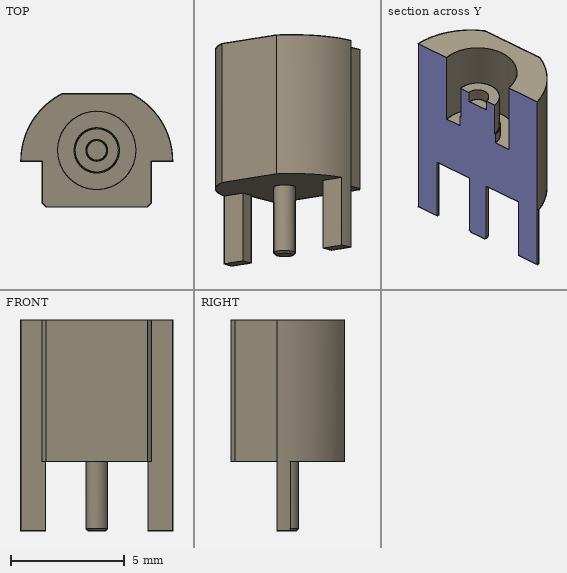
import cadquery as cq


body_height = 6.25
half_depth = 2.5
block_width = 4.82
shoulder_y = -0.48
back_radius = 3.35
block_chamfer = 0.18

leg_length = 3.05
leg_inner_x = 2.25
leg_back_y = 0.12
pin_diameter = 0.96
pin_bottom_chamfer = 0.1
pin_top_chamfer = 0.05

bore_diameter = 3.45
bore_depth = 3.5
insulator_diameter = 1.9
insulator_top_depth = 1.37
collar_diameter = 2.0
collar_height = 0.5
pin_recess = 0.5


def disc(diameter, bottom_z, height):
    """Vertical cylinder on the pin axis."""
    return cq.Workplane("XY").workplane(offset=bottom_z).circle(diameter / 2).extrude(height)


def half_round(bottom_z, height):
    """Half disc behind the shoulders, centred on the shoulder line."""
    return (
        cq.Workplane("XY")
        .workplane(offset=bottom_z)
        .moveTo(-back_radius, shoulder_y)
        .threePointArc((0, shoulder_y + back_radius), (back_radius, shoulder_y))
        .close()
        .extrude(height)
    )


def make_body():
    back_reach = half_depth - shoulder_y
    back_limit = cq.Workplane("XY").box(2 * back_radius, back_reach, body_height, centered=(True, False, False))
    back = half_round(0, body_height).intersect(back_limit.translate((0, shoulder_y, 0)))
    block = (
        cq.Workplane("XY")
        .box(block_width, 2 * half_depth - back_reach, body_height, centered=(True, False, False))
        .translate((0, -half_depth, 0))
        .faces("<Y")
        .edges("|Z")
        .chamfer(block_chamfer)
    )
    return back.union(block)


def make_leg(side):
    """Leg under one shoulder (side is -1 or 1), its outer face following the round back."""
    width = back_radius - leg_inner_x
    centre_x = side * (leg_inner_x + width / 2)
    height = leg_length + body_height
    limit = (
        cq.Workplane("XY")
        .box(width, leg_back_y - shoulder_y, height, centered=(True, False, False))
        .translate((centre_x, shoulder_y, -leg_length))
    )
    return half_round(-leg_length, height).intersect(limit)


def make_socket():
    """Annular space to remove around the insulator, plus the recess above the pin."""
    floor_z = body_height - bore_depth
    insulator_height = bore_depth - insulator_top_depth
    bore = disc(bore_diameter, floor_z, bore_depth)
    insulator = disc(insulator_diameter, floor_z, insulator_height)
    collar = disc(collar_diameter, floor_z, collar_height)
    recess = disc(pin_diameter, floor_z, insulator_height)
    return bore.cut(insulator).cut(collar).union(recess)


def make_pin():
    top_z = body_height - insulator_top_depth - pin_recess
    pin = disc(pin_diameter, -leg_length, top_z + leg_length)
    pin = pin.faces("<Z").edges().chamfer(pin_bottom_chamfer)
    return pin.faces(">Z").edges().chamfer(pin_top_chamfer)


result = make_body()
for side in (-1, 1):
    result = result.union(make_leg(side))
result = result.cut(make_socket()).union(make_pin())